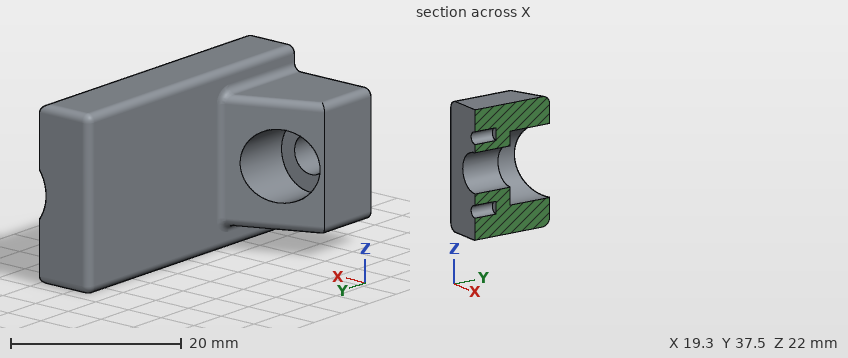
import cadquery as cq

total_width = 19.3
length = 37.5
plate_height = 22.0
plate_thickness = 7.6
boss_height = 16.0
boss_outer_length = 8.5
boss_root_length = 13.5
edge_radius = 1.0

groove_radius = 5.0
groove_depth = 1.0

bore_offset = 5.0
through_diameter = 5.0
through_height = 0.2
counterbore_diameter = 9.0
counterbore_floor = 5.0
pin_diameter = 1.5
pin_spacing = 9.0
pin_depth = 3.0

boss_left = -bore_offset
plate_left = boss_left + total_width - plate_thickness
plate_right = plate_left + plate_thickness
fuse_overlap = plate_thickness / 2

selection_margin = 0.05
root_reach = boss_height / 2 + selection_margin


def cylinder_y(diameter, x, z, start, end):
    """Cylinder parallel to Y that runs from Y = start to Y = end."""
    base = cq.Vector(x, start, z)
    along_y = cq.Vector(0, 1, 0)
    return cq.Workplane(cq.Solid.makeCylinder(diameter / 2, end - start, base, along_y))


def make_plate():
    """Upright plate, rounded on all edges except the front ones and the far right one."""
    plate = cq.Workplane("XY").box(plate_thickness, length, plate_height, centered=(False, False, True))
    plate = plate.translate((plate_left, 0, 0))
    return plate.edges("(|Y or >Y) except (>Y and >X)").fillet(edge_radius)


def make_boss():
    """Block on the left of the plate with a sloped far side and rounded upper and lower edges."""
    boss_inner = plate_left + fuse_overlap
    slope = (boss_root_length - boss_outer_length) / (plate_left - boss_left)
    inner_length = boss_root_length + slope * fuse_overlap
    outline = [
        (boss_left, 0),
        (boss_inner, 0),
        (boss_inner, inner_length),
        (boss_left, boss_outer_length),
    ]
    boss = cq.Workplane("XY").polyline(outline).close().extrude(boss_height / 2, both=True)
    side_edges = boss.faces("<X").edges("|Y")
    slope_edges = boss.faces(">Y").edges("#Z")
    return boss.newObject(side_edges.vals() + slope_edges.vals()).fillet(edge_radius)


def round_root(body):
    """Concave rounding where the sloped face and the sides of the boss meet the plate."""
    low_corner = (plate_left - selection_margin, -selection_margin, -root_reach)
    high_corner = (plate_left + selection_margin, boss_root_length + selection_margin, root_reach)
    root_edges = cq.selectors.BoxSelector(low_corner, high_corner, boundingbox=True)
    return body.edges(root_edges).fillet(edge_radius)


def cut_stepped_bore(body):
    """Through hole from the front, with a counterbore from the sloped face of the boss."""
    through_hole = cylinder_y(through_diameter, 0, through_height, 0, length)
    counterbore = cylinder_y(counterbore_diameter, 0, 0, counterbore_floor, length)
    return body.cut(through_hole).cut(counterbore)


def cut_pin_holes(body):
    """Two blind holes in the front face, above and below the bore."""
    for side in (-1, 1):
        body = body.cut(cylinder_y(pin_diameter, 0, side * pin_spacing / 2, 0, pin_depth))
    return body


def cut_groove(body):
    """Shallow round groove along the whole right side of the plate."""
    groove_centre = plate_right - groove_depth + groove_radius
    return body.cut(cylinder_y(2 * groove_radius, groove_centre, 0, 0, length))


result = make_plate().union(make_boss())
result = round_root(result)
result = cut_stepped_bore(result)
result = cut_pin_holes(result)
result = cut_groove(result)